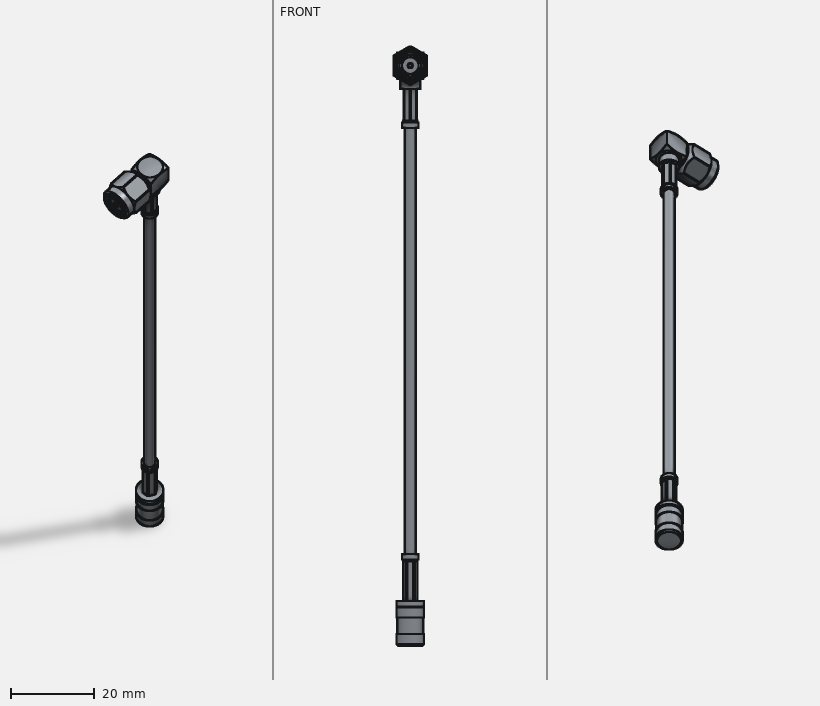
import cadquery as cq
import math

TOTAL_HEIGHT = 142.9

NUT_FLATS = 8.0
NUT_CORNERS = 9.1
NUT_BORE_DIAMETER = 6.3
NUT_MOUTH_DIAMETER = 6.6
NUT_BACK_DIAMETER = 6.7
NUT_LENGTH = 9.0
NUT_COLLAR_LENGTH = 2.5
NUT_RIM_CHAMFER = 0.5
NUT_FLOOR = 1.5

ELBOW_SIZE = 6.3
ELBOW_OFFSET = 0.1
ELBOW_FACE_DIAMETER = 6.1
ELBOW_CONE_ANGLE = 30.0
NECK_DIAMETER = 4.9
NECK_LENGTH = 2.5
SHOULDER_DIAMETER = 6.0
SHOULDER_LENGTH = 0.3
SLEEVE_DIAMETER = 5.1
SLEEVE_RECESS = 0.3
INSULATOR_DIAMETER = 4.0
INSULATOR_RECESS = 0.3
PIN_DIAMETER = 1.2
PIN_LENGTH = 0.5
PIN_CHAMFER = 0.1

CABLE_DIAMETER = 2.7
FERRULE_FLATS = 3.3
FERRULE_DIAMETER = 3.6
FERRULE_ROUND_LENGTH = 0.5
FERRULE_COLLAR_DIAMETER = 4.0
FERRULE_COLLAR_LENGTH = 1.3
UPPER_FERRULE_LENGTH = 9.3
LOWER_FERRULE_LENGTH = 11.1

PLUG_DIAMETER = 6.6
PLUG_LENGTH = 10.7
PLUG_RELIEF_DIAMETER = 6.3
PLUG_WAIST_BOTTOM = 2.9
PLUG_WAIST_LENGTH = 3.9
PLUG_GROOVE_BOTTOM = 9.1
PLUG_GROOVE_LENGTH = 0.3
PLUG_CHAMFER = 0.5

half_elbow = ELBOW_SIZE / 2
connector_z = TOTAL_HEIGHT - NUT_CORNERS / 2
neck_bottom = connector_z - half_elbow - NECK_LENGTH


def cylinder(diameter, length, bottom=0.0):
    return cq.Workplane("XY").workplane(offset=bottom).circle(diameter / 2).extrude(length)


def hexagon(flats, length):
    """Hexagonal bar along Z with two flats facing +X and -X."""
    across_corners = flats / math.cos(math.radians(30))
    bar = cq.Workplane("XY").polygon(6, across_corners).extrude(length)
    return bar.rotate((0, 0, 0), (0, 0, 1), 30)


def along_connector(shape):
    """Turn a shape built along +Z so that it leaves the elbow toward -Y."""
    return shape.rotate((0, 0, 0), (1, 0, 0), 90).translate((0, ELBOW_OFFSET - half_elbow, connector_z))


def make_elbow():
    """Square block with coned ends, a cable neck below and the contact sleeve in front."""
    reach = half_elbow * math.sqrt(2)
    drop = (reach - ELBOW_FACE_DIAMETER / 2) * math.tan(math.radians(ELBOW_CONE_ANGLE))
    envelope = (
        cq.Workplane("XZ")
        .moveTo(0, -half_elbow)
        .lineTo(ELBOW_FACE_DIAMETER / 2, -half_elbow)
        .lineTo(reach, -half_elbow + drop)
        .lineTo(reach, half_elbow - drop)
        .lineTo(ELBOW_FACE_DIAMETER / 2, half_elbow)
        .lineTo(0, half_elbow)
        .close()
        .revolve(360, (0, 0, 0), (0, 1, 0))
    )
    block = cq.Workplane("XY").box(ELBOW_SIZE, ELBOW_SIZE, ELBOW_SIZE).intersect(envelope)
    block = block.translate((0, ELBOW_OFFSET, connector_z))
    neck = cylinder(NECK_DIAMETER, NECK_LENGTH + half_elbow, neck_bottom)
    shoulder = along_connector(cylinder(SHOULDER_DIAMETER, SHOULDER_LENGTH + half_elbow, -half_elbow))
    sleeve = along_connector(make_sleeve())
    return block.union(neck).union(shoulder).union(sleeve)


def make_sleeve():
    """Contact sleeve with a recessed insulator face and a centre pin."""
    sleeve_end = SHOULDER_LENGTH + NUT_LENGTH - SLEEVE_RECESS
    insulator_end = sleeve_end - INSULATOR_RECESS
    sleeve = cylinder(SLEEVE_DIAMETER, sleeve_end + half_elbow, -half_elbow)
    sleeve = sleeve.cut(cylinder(INSULATOR_DIAMETER, INSULATOR_RECESS, insulator_end))
    pin = cylinder(PIN_DIAMETER, PIN_LENGTH, insulator_end).faces(">Z").chamfer(PIN_CHAMFER)
    return sleeve.union(pin)


def make_nut():
    """Hexagonal nut with coned ends, a round collar and a bore around the sleeve."""
    hex_end = NUT_LENGTH - NUT_COLLAR_LENGTH
    corner_radius = NUT_CORNERS / 2
    back_radius = NUT_BACK_DIAMETER / 2
    collar_radius = NUT_FLATS / 2
    envelope = (
        cq.Workplane("XZ")
        .lineTo(back_radius, 0)
        .lineTo(corner_radius, corner_radius - back_radius)
        .lineTo(corner_radius, hex_end - (corner_radius - collar_radius))
        .lineTo(collar_radius, hex_end)
        .lineTo(collar_radius, NUT_LENGTH - NUT_RIM_CHAMFER)
        .lineTo(collar_radius - NUT_RIM_CHAMFER, NUT_LENGTH)
        .lineTo(0, NUT_LENGTH)
        .close()
        .revolve(360, (0, 0, 0), (0, 1, 0))
    )
    hexagonal_part = hexagon(NUT_FLATS, hex_end)
    collar = cylinder(NUT_FLATS, NUT_COLLAR_LENGTH, hex_end)
    nut = hexagonal_part.union(collar).intersect(envelope)
    nut = nut.cut(cylinder(NUT_BORE_DIAMETER, NUT_LENGTH - NUT_FLOOR, NUT_FLOOR))
    mouth_depth = (NUT_MOUTH_DIAMETER - NUT_BORE_DIAMETER) / 2
    mouth_start = cq.Vector(0, 0, NUT_LENGTH - mouth_depth)
    mouth = cq.Solid.makeCone(NUT_BORE_DIAMETER / 2, NUT_MOUTH_DIAMETER / 2, mouth_depth, mouth_start)
    nut = nut.cut(cq.Workplane(mouth))
    nut = nut.cut(cylinder(SLEEVE_DIAMETER, NUT_FLOOR))
    return along_connector(nut.translate((0, 0, SHOULDER_LENGTH)))


def make_ferrule(length):
    """Ferrule with its collar at Z = 0, crimped to a hexagon with rounded corners."""
    collar = cylinder(FERRULE_COLLAR_DIAMETER, FERRULE_COLLAR_LENGTH)
    round_part = cylinder(FERRULE_DIAMETER, FERRULE_COLLAR_LENGTH + FERRULE_ROUND_LENGTH)
    crimp = hexagon(FERRULE_FLATS, length).intersect(cylinder(FERRULE_DIAMETER, length))
    ferrule = crimp.union(round_part).union(collar)
    return ferrule.cut(cylinder(CABLE_DIAMETER, length))


def plug_relief(length, bottom):
    """Ring cut that narrows the plug over a stretch of its length."""
    ring = cylinder(PLUG_DIAMETER, length, bottom)
    return ring.cut(cylinder(PLUG_RELIEF_DIAMETER, length, bottom))


def make_plug():
    """Round plug with a wide waist and a narrow groove."""
    plug_body = cylinder(PLUG_DIAMETER, PLUG_LENGTH).faces("<Z").chamfer(PLUG_CHAMFER)
    plug_body = plug_body.cut(plug_relief(PLUG_WAIST_LENGTH, PLUG_WAIST_BOTTOM))
    return plug_body.cut(plug_relief(PLUG_GROOVE_LENGTH, PLUG_GROOVE_BOTTOM))


elbow = make_elbow()
nut = make_nut()
plug = make_plug()
cable = cylinder(CABLE_DIAMETER, neck_bottom - PLUG_LENGTH, PLUG_LENGTH)
upper_ferrule = make_ferrule(UPPER_FERRULE_LENGTH).translate((0, 0, neck_bottom - UPPER_FERRULE_LENGTH))
lower_ferrule = (
    make_ferrule(LOWER_FERRULE_LENGTH)
    .rotate((0, 0, 0), (1, 0, 0), 180)
    .rotate((0, 0, 0), (0, 0, 1), 90)
    .translate((0, 0, PLUG_LENGTH + LOWER_FERRULE_LENGTH))
)

bodies = [elbow, nut, plug, cable, upper_ferrule, lower_ferrule]
result = cq.Compound.makeCompound([body.solids().val() for body in bodies])